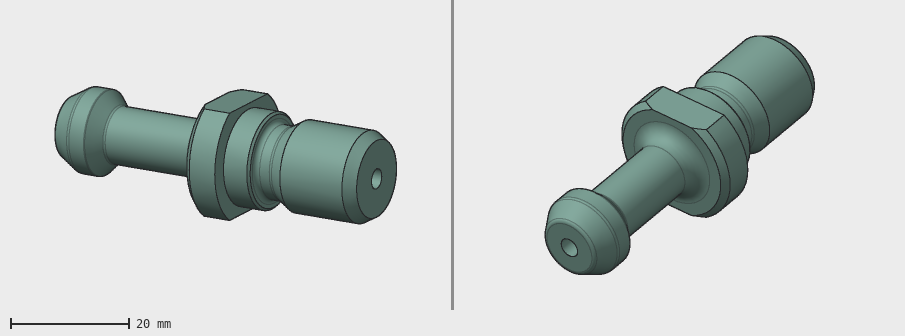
import cadquery as cq
import math


total_length = 60.0
head_shoulder_x = 3.9
head_back_x = 7.15
flange_front_x = 28.85
flange_back_x = 35.0
collar_end_x = 39.95
shank_start_x = 45.7

head_radius = 7.5
neck_radius = 10.0 / 2
flange_radius = 23.0 / 2
collar_radius = 8.5
groove_radius = 6.5
shank_radius = 8.05
bore_radius = 1.75

across_flats = 19.0
taper_slope = math.tan(math.radians(30))
flange_chamfer = 1.15
collar_chamfer = 0.4
end_chamfer_length = 2.15

nose_fillet = 0.85
shoulder_fillet = 1.0
head_back_fillet = 0.25
neck_start_fillet = 0.55
flange_root_fillet = 3.0
collar_root_fillet = 0.9
groove_fillet = 1.0

nose_radius = head_radius - head_shoulder_x * taper_slope
neck_start_x = head_back_x + head_radius - neck_radius
groove_end_x = shank_start_x - (shank_radius - groove_radius) / taper_slope
end_radius = shank_radius - end_chamfer_length * taper_slope


def turned_body():
    """Revolve the half profile, given as (x, radius) points, about X."""
    profile = [
        (0, 0),
        (0, nose_radius),
        (head_shoulder_x, head_radius),
        (head_back_x, head_radius),
        (neck_start_x, neck_radius),
        (flange_front_x, neck_radius),
        (flange_front_x, flange_radius - flange_chamfer),
        (flange_front_x + flange_chamfer, flange_radius),
        (flange_back_x, flange_radius),
        (flange_back_x, collar_radius),
        (collar_end_x - collar_chamfer, collar_radius),
        (collar_end_x, collar_radius - collar_chamfer),
        (collar_end_x, groove_radius),
        (groove_end_x, groove_radius),
        (shank_start_x, shank_radius),
        (total_length - end_chamfer_length, shank_radius),
        (total_length, end_radius),
        (total_length, 0),
    ]
    return cq.Workplane("XY").polyline(profile).close().revolve(360, (0, 0, 0), (1, 0, 0))


def fillet_circle(body, x, radius, fillet):
    """Round the circular edge of the given radius at station x."""
    tolerance = 0.0005

    def is_target(edge):
        start = edge.startPoint()
        same_station = abs(start.x - x) < tolerance and abs(edge.endPoint().x - x) < tolerance
        return same_station and abs(math.hypot(start.y, start.z) - radius) < tolerance

    circles = [edge for edge in body.edges().vals() if edge.geomType() == "CIRCLE" and is_target(edge)]
    return body.newObject(circles).fillet(fillet)


def cut_wrench_flats(body):
    """Trim the flange to two flats facing +Z and -Z."""
    envelope = cq.Workplane("XY").box(
        total_length, 2 * flange_radius, across_flats, centered=(False, True, True)
    )
    return body.intersect(envelope)


def drill_bore(body):
    """Drill the coolant bore through the full length."""
    bore = cq.Workplane("YZ").circle(bore_radius).extrude(total_length)
    return body.cut(bore)


edge_fillets = [
    (0, nose_radius, nose_fillet),
    (head_shoulder_x, head_radius, shoulder_fillet),
    (head_back_x, head_radius, head_back_fillet),
    (neck_start_x, neck_radius, neck_start_fillet),
    (flange_front_x, neck_radius, flange_root_fillet),
    (collar_end_x, groove_radius, collar_root_fillet),
    (groove_end_x, groove_radius, groove_fillet),
]

stud = turned_body()
for station, edge_radius, fillet_radius in edge_fillets:
    stud = fillet_circle(stud, station, edge_radius, fillet_radius)
stud = cut_wrench_flats(stud)
result = drill_bore(stud)